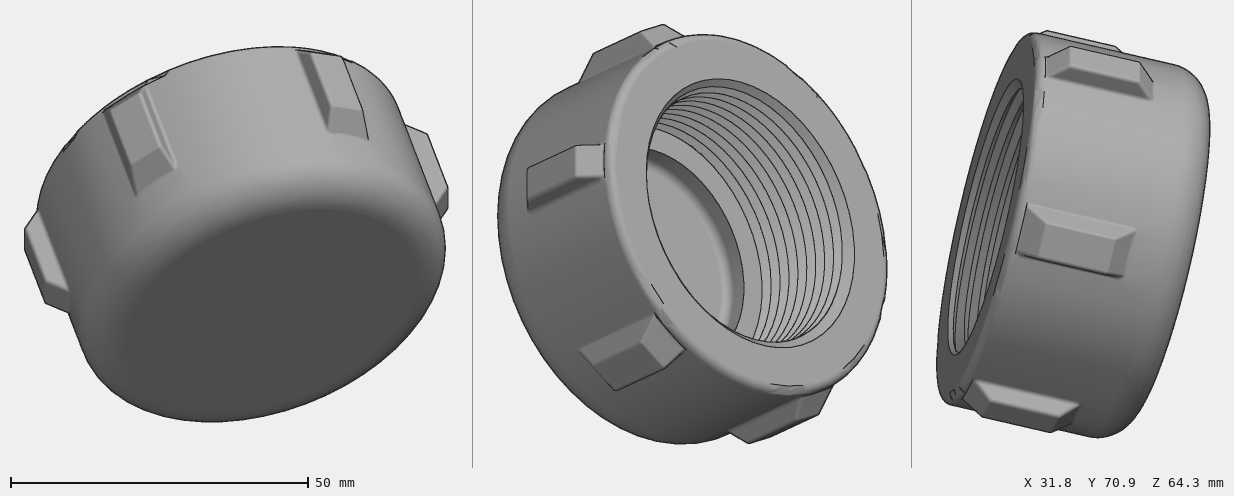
import cadquery as cq
import math

INCH = 25.4

LENGTH = 1.25 * INCH
BODY_DIAMETER = 64.26
BODY_RADIUS = BODY_DIAMETER / 2
CLOSED_END_FILLET = INCH / 4
OPEN_END_FILLET = 1.5

THREAD_PITCH = INCH / 11.5
THREAD_DEPTH = 22.2
CREST_RADIUS = 22.35
CREST_FLAT = 0.06
FLANK_HALF_ANGLE = 30.0
GROOVE_OVERLAP = 0.02
GROOVE_START_X = THREAD_PITCH / 2
GROOVE_START_ANGLE = 223.0
MOUTH_RADIUS = 23.85
SLEEVE_RADIUS = 26.0
CUTTER_MARGIN = 1.0

RECESS_DIAMETER = 38.1
FLOOR_THICKNESS = 5.5
RECESS_FILLET = 1.5

LUG_COUNT = 6
LUG_TIP_RADIUS = 70.87 / 2
LUG_ROOT_RADIUS = 31.0
LUG_WIDTH = INCH / 4
LUG_TIP_LENGTH = 12.1
LUG_CENTER_X = 11.0
LUG_EDGE_FILLET = 0.65
LUG_ROOT_FILLET = 0.7
FLARE_ANGLE = 30.0

EDGE_TOLERANCE = 0.001


def revolve_about_x(points):
    """Solid of revolution about the X axis from (x, radius) points."""
    return cq.Workplane("XY").polyline(points).close().revolve(360, (0, 0, 0), (1, 0, 0))


def make_body():
    body = cq.Workplane("YZ").circle(BODY_RADIUS).extrude(LENGTH)
    return body.faces(">X").edges().fillet(CLOSED_END_FILLET)


def make_lug(left_flare, right_flare):
    """Lug pointing along +Y with 45 degree ends; each flare angle tilts one side outward."""
    height = LUG_TIP_RADIUS - LUG_ROOT_RADIUS
    half_tip = LUG_TIP_LENGTH / 2
    half_root = half_tip + height
    half_width = LUG_WIDTH / 2
    left_root = half_width + height * math.tan(math.radians(left_flare))
    right_root = half_width + height * math.tan(math.radians(right_flare))

    side_profile = (
        cq.Workplane("XY")
        .polyline([
            (LUG_CENTER_X - half_root, LUG_ROOT_RADIUS),
            (LUG_CENTER_X - half_tip, LUG_TIP_RADIUS),
            (LUG_CENTER_X + half_tip, LUG_TIP_RADIUS),
            (LUG_CENTER_X + half_root, LUG_ROOT_RADIUS),
        ])
        .close()
        .extrude(BODY_RADIUS, both=True)
    )
    cross_section = (
        cq.Workplane("YZ")
        .polyline([
            (LUG_ROOT_RADIUS, -right_root),
            (LUG_TIP_RADIUS, -half_width),
            (LUG_TIP_RADIUS, half_width),
            (LUG_ROOT_RADIUS, left_root),
        ])
        .close()
        .extrude(LENGTH, both=True)
    )
    lug = side_profile.intersect(cross_section)
    return lug.edges("not(<Y)").fillet(LUG_EDGE_FILLET)


def add_lugs(body):
    for index in range(LUG_COUNT):
        angle = index * 360 / LUG_COUNT
        points_diagonally = angle % 180 != 0
        flare_is_left = angle % 180 > 90
        left_flare = FLARE_ANGLE if points_diagonally and flare_is_left else 0
        right_flare = FLARE_ANGLE if points_diagonally and not flare_is_left else 0
        lug = make_lug(left_flare, right_flare)
        body = body.union(lug.rotate((0, 0, 0), (1, 0, 0), angle))
    return body


def round_lug_roots(body):
    """Fillet the closed loop where each lug meets the cylinder."""
    end_limit = LENGTH - CLOSED_END_FILLET - EDGE_TOLERANCE

    def is_root_edge(edge):
        points = edge.positions([0, 0.3, 0.7, 1])
        on_cylinder = all(abs(math.hypot(p.y, p.z) - BODY_RADIUS) < EDGE_TOLERANCE for p in points)
        clear_of_ends = all(EDGE_TOLERANCE < p.x < end_limit for p in points)
        return on_cylinder and clear_of_ends

    root_edges = [edge for edge in body.edges().vals() if is_root_edge(edge)]
    return body.newObject(root_edges).fillet(LUG_ROOT_FILLET)


def round_open_end(body):
    """Round the rim of the open face with a revolved quarter-round cutter."""
    radius = OPEN_END_FILLET
    outside = BODY_RADIUS + LUG_ROOT_FILLET
    arc_offset = radius * (1 - math.sqrt(0.5))
    cutter = (
        cq.Workplane("XY")
        .moveTo(0, BODY_RADIUS - radius)
        .threePointArc((arc_offset, BODY_RADIUS - arc_offset), (radius, BODY_RADIUS))
        .lineTo(radius, outside)
        .lineTo(-radius, outside)
        .lineTo(-radius, BODY_RADIUS - radius)
        .close()
        .revolve(360, (0, 0, 0), (1, 0, 0))
    )
    return body.cut(cutter)


def make_groove():
    """Helical V groove that starts at the open face and runs past the inner end of the sleeve."""
    slope = math.tan(math.radians(FLANK_HALF_ANGLE))
    half_mouth = (THREAD_PITCH - CREST_FLAT) / 2
    root_radius = CREST_RADIUS + half_mouth / slope
    base_radius = CREST_RADIUS - GROOVE_OVERLAP
    half_base = half_mouth + GROOVE_OVERLAP * slope

    helix = cq.Wire.makeHelix(
        THREAD_PITCH,
        THREAD_DEPTH + THREAD_PITCH,
        CREST_RADIUS,
        center=cq.Vector(GROOVE_START_X, 0, 0),
        dir=cq.Vector(1, 0, 0),
    )
    groove = (
        cq.Workplane("XZ")
        .polyline([
            (GROOVE_START_X - half_base, base_radius),
            (GROOVE_START_X, root_radius),
            (GROOVE_START_X + half_base, base_radius),
        ])
        .close()
        .sweep(cq.Workplane(obj=helix), isFrenet=True)
    )
    return groove.rotate((0, 0, 0), (1, 0, 0), GROOVE_START_ANGLE)


def make_threaded_sleeve():
    """Tube with the thread along its bore and a 45 degree countersink at its mouth."""
    tube = revolve_about_x([
        (0, CREST_RADIUS),
        (0, SLEEVE_RADIUS),
        (THREAD_DEPTH, SLEEVE_RADIUS),
        (THREAD_DEPTH, CREST_RADIUS),
    ])
    sink_end = MOUTH_RADIUS - CREST_RADIUS + CUTTER_MARGIN
    countersink = revolve_about_x([
        (-CUTTER_MARGIN, 0),
        (-CUTTER_MARGIN, MOUTH_RADIUS + CUTTER_MARGIN),
        (sink_end, CREST_RADIUS - CUTTER_MARGIN),
        (sink_end, 0),
    ])
    return tube.cut(make_groove()).cut(countersink)


def cut_cavity(body):
    """Hollow out the sleeve seat and the blind recess with its rounded floor edge."""
    seat = cq.Workplane("YZ").circle(SLEEVE_RADIUS).extrude(THREAD_DEPTH)
    recess = (
        cq.Workplane("YZ")
        .circle(RECESS_DIAMETER / 2)
        .extrude(LENGTH - FLOOR_THICKNESS)
        .faces(">X")
        .edges()
        .fillet(RECESS_FILLET)
    )
    return body.cut(seat).cut(recess)


body = make_body()
body = add_lugs(body)
body = round_lug_roots(body)
body = round_open_end(body)
body = cut_cavity(body)
result = body.union(make_threaded_sleeve())